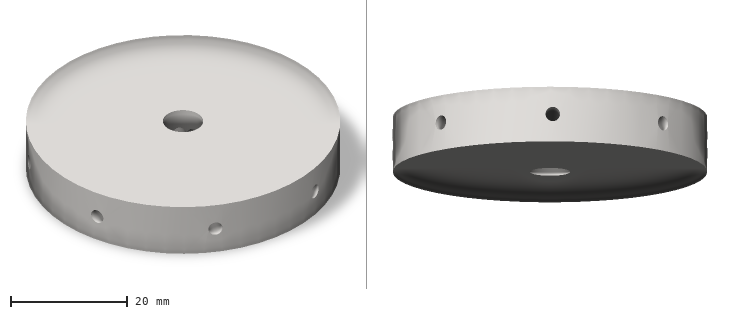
import cadquery as cq

disc_diameter = 53.85
disc_thickness = 9.55
bore_diameter = 6.9

radial_hole_diameter = 2.5
radial_hole_count = 8
hole_spacing_angle = 360 / radial_hole_count


def make_disc():
    """Plain disc standing on the XY plane, bored through its centre."""
    return (
        cq.Workplane("XY")
        .circle(disc_diameter / 2)
        .circle(bore_diameter / 2)
        .extrude(disc_thickness)
    )


def make_radial_hole(angle):
    """Cylinder from the disc axis out through the rim, at an angle from +X."""
    return (
        cq.Workplane("YZ")
        .center(0, disc_thickness / 2)
        .circle(radial_hole_diameter / 2)
        .extrude(disc_diameter)
        .rotate((0, 0, 0), (0, 0, 1), angle)
    )


result = make_disc()
for index in range(radial_hole_count):
    result = result.cut(make_radial_hole(index * hole_spacing_angle))